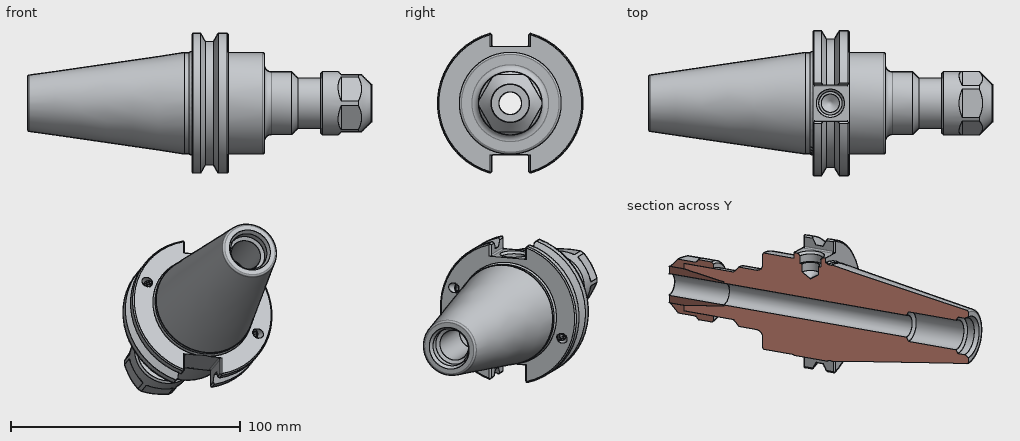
import cadquery as cq
import math

LENGTH = 150.0

HEX_SIDES = 6

TAPER_LENGTH = 68.4
TAPER_MAJOR_DIAMETER = 44.4
TAPER_RATIO = 7 / 24
TAPER_MINOR_DIAMETER = TAPER_MAJOR_DIAMETER - TAPER_RATIO * TAPER_LENGTH
TAPER_END_FILLET = 0.9

NECK_DIAMETER = 44.1

FLANGE_DIAMETER = 63.5
FLANGE_FRONT = 71.5
FLANGE_REAR = 87.5
FLANGE_CHAMFER = 0.6
FLANGE_ROOT_RADIUS = 1.5
FLANGE_ROOT_LENGTH = 1.2
GROOVE_CENTER = 79.2
GROOVE_FLOOR_WIDTH = 3.6
GROOVE_DEPTH = 3.6
GROOVE_FLANK_ANGLE = 30.0

BODY_DIAMETER = TAPER_MAJOR_DIAMETER
BODY_END = 103.2
BODY_FILLET = 0.9
COLLAR_DIAMETER = 27.5
COLLAR_FILLET = 3.0
COLLAR_END = 115.1
NOSE_DIAMETER = 22.0
NOSE_END = 142.5

MOUTH_DIAMETER = 18.6
PILOT_DIAMETER = 16.5
PILOT_DEPTH = 5.3
THREAD_BORE_DIAMETER = 13.4
THREAD_BORE_END = 30.0
THROUGH_DIAMETER = 9.8
MOUTH_ANGLE = 30.0
STEP_ANGLE = 60.0

SLOT_WIDTH = 16.0
SLOT_CHAMFER = 0.8
SLOT_FLOOR_FILLET = 0.6
UPPER_SLOT_FLOOR = 24.8
LOWER_SLOT_FLOOR = 22.5

POCKET_MOUTH_DIAMETER = 12.3
POCKET_DIAMETER = 10.2
POCKET_DEPTH = 4.5
PILOT_HOLE_DIAMETER = 8.0
PILOT_HOLE_DEPTH = 8.3
DRILL_POINT_ANGLE = 118.0

COOLANT_PITCH_RADIUS = 26.9
COOLANT_ANGLES = (20.0, 200.0)
COOLANT_TILT = 30.0
SCREW_DIAMETER = 4.2
SCREW_RECESS = 2.0
SCREW_LENGTH = 4.5
SCREW_CHAMFER = 0.5
SOCKET_ACROSS_FLATS = 2.0
SOCKET_DEPTH = 1.8

NUT_DIAMETER = 27.8
NUT_START = 127.7
NUT_END = 149.6
NUT_CHAMFER = 0.9
NUT_FACE_DIAMETER = 16.8
HEX_ACROSS_FLATS = 24.9
HEX_START = 136.7

COLLET_HEAD_DIAMETER = 16.5
COLLET_START = 122.6
COLLET_HALF_ANGLE = 8.0


def slope_run(rise, angle):
    """Axial length of a cone that changes its radius by `rise` at `angle` from the axis."""
    return rise / math.tan(math.radians(angle))


def revolve_about_x(profile):
    """Turn a closed (X, radius) profile about the X axis."""
    return profile.close().revolve(360, (0, 0, 0), (1, 0, 0))


def holder_blank():
    """Outside of the holder as one turned shape."""
    taper_r = TAPER_MAJOR_DIAMETER / 2
    neck_r = NECK_DIAMETER / 2
    root_rise = FLANGE_ROOT_RADIUS - math.sqrt(FLANGE_ROOT_RADIUS**2 - FLANGE_ROOT_LENGTH**2)
    flange_r = FLANGE_DIAMETER / 2
    body_r = BODY_DIAMETER / 2
    collar_r = COLLAR_DIAMETER / 2
    nose_r = NOSE_DIAMETER / 2
    groove_r = flange_r - GROOVE_DEPTH
    floor_half = GROOVE_FLOOR_WIDTH / 2
    rim_half = floor_half + GROOVE_DEPTH * math.tan(math.radians(GROOVE_FLANK_ANGLE))
    nose_start = COLLAR_END + collar_r - nose_r
    blank = revolve_about_x(
        cq.Workplane("XY")
        .moveTo(0, 0)
        .lineTo(0, TAPER_MINOR_DIAMETER / 2)
        .lineTo(TAPER_LENGTH, taper_r)
        .lineTo(TAPER_LENGTH, neck_r)
        .lineTo(FLANGE_FRONT - FLANGE_ROOT_LENGTH, neck_r)
        .radiusArc((FLANGE_FRONT, neck_r + root_rise), FLANGE_ROOT_RADIUS)
        .lineTo(FLANGE_FRONT, flange_r - FLANGE_CHAMFER)
        .lineTo(FLANGE_FRONT + FLANGE_CHAMFER, flange_r)
        .lineTo(GROOVE_CENTER - rim_half, flange_r)
        .lineTo(GROOVE_CENTER - floor_half, groove_r)
        .lineTo(GROOVE_CENTER + floor_half, groove_r)
        .lineTo(GROOVE_CENTER + rim_half, flange_r)
        .lineTo(FLANGE_REAR - FLANGE_CHAMFER, flange_r)
        .lineTo(FLANGE_REAR, flange_r - FLANGE_CHAMFER)
        .lineTo(FLANGE_REAR, body_r)
        .lineTo(BODY_END - BODY_FILLET, body_r)
        .radiusArc((BODY_END, body_r - BODY_FILLET), BODY_FILLET)
        .lineTo(BODY_END, collar_r + COLLAR_FILLET)
        .radiusArc((BODY_END + COLLAR_FILLET, collar_r), -COLLAR_FILLET)
        .lineTo(COLLAR_END, collar_r)
        .lineTo(nose_start, nose_r)
        .lineTo(NOSE_END, nose_r)
        .lineTo(NOSE_END, 0)
    )
    return blank.faces("<X").edges().fillet(TAPER_END_FILLET)


def holder_bore():
    """Stepped bore from the taper end, running through the nose."""
    mouth_r = MOUTH_DIAMETER / 2
    pilot_r = PILOT_DIAMETER / 2
    thread_r = THREAD_BORE_DIAMETER / 2
    through_r = THROUGH_DIAMETER / 2
    return revolve_about_x(
        cq.Workplane("XY")
        .moveTo(0, 0)
        .lineTo(0, mouth_r)
        .lineTo(slope_run(mouth_r - pilot_r, MOUTH_ANGLE), pilot_r)
        .lineTo(PILOT_DEPTH, pilot_r)
        .lineTo(PILOT_DEPTH + slope_run(pilot_r - thread_r, STEP_ANGLE), thread_r)
        .lineTo(THREAD_BORE_END, thread_r)
        .lineTo(THREAD_BORE_END + slope_run(thread_r - through_r, STEP_ANGLE), through_r)
        .lineTo(NOSE_END, through_r)
        .lineTo(NOSE_END, 0)
    )


def collet_blank():
    """Collet without its bore: a tapered shank that fills the nose, and a straight head."""
    head_r = COLLET_HEAD_DIAMETER / 2
    back_r = head_r - (NOSE_END - COLLET_START) * math.tan(math.radians(COLLET_HALF_ANGLE))
    return revolve_about_x(
        cq.Workplane("XY")
        .moveTo(COLLET_START, 0)
        .lineTo(COLLET_START, back_r)
        .lineTo(NOSE_END, head_r)
        .lineTo(LENGTH, head_r)
        .lineTo(LENGTH, 0)
    )


def drive_slot(floor_height):
    """Cutter for a slot on the +Z side, with its wall edges chamfered at both faces and at the rim."""
    half = SLOT_WIDTH / 2
    flared = half + SLOT_CHAMFER
    rim_r = FLANGE_DIAMETER / 2
    height = rim_r - floor_height
    slot_start = FLANGE_FRONT - FLANGE_ROOT_LENGTH
    slot_length = FLANGE_REAR - slot_start
    slot = (
        cq.Workplane("XY")
        .box(slot_length, SLOT_WIDTH, height, centered=(False, True, False))
        .translate((slot_start, 0, floor_height))
        .edges("|X and <Z")
        .fillet(SLOT_FLOOR_FILLET)
    )
    for face, inward in ((FLANGE_FRONT, 1), (FLANGE_REAR, -1)):
        face_flare = (
            cq.Workplane("XY", origin=(0, 0, floor_height))
            .moveTo(face, -flared)
            .lineTo(face, flared)
            .lineTo(face + inward * SLOT_CHAMFER, half)
            .lineTo(face + inward * SLOT_CHAMFER, -half)
            .close()
            .extrude(height)
        )
        slot = slot.union(face_flare)
    flare_top = math.sqrt(rim_r**2 - flared**2)
    rise = rim_r - flare_top
    rim_flare = (
        cq.Workplane("YZ", origin=(slot_start, 0, 0))
        .moveTo(-half, flare_top - SLOT_CHAMFER)
        .lineTo(half, flare_top - SLOT_CHAMFER)
        .lineTo(flared + rise, rim_r)
        .lineTo(-flared - rise, rim_r)
        .close()
        .extrude(slot_length)
    )
    return slot.union(rim_flare)


def slot_pocket():
    """Stepped round pocket with a drill point, sunk into the floor of the upper slot."""
    mouth_r = POCKET_MOUTH_DIAMETER / 2
    pocket_r = POCKET_DIAMETER / 2
    pilot_r = PILOT_HOLE_DIAMETER / 2
    point_depth = slope_run(pilot_r, DRILL_POINT_ANGLE / 2)
    return (
        cq.Workplane("XZ", origin=(GROOVE_CENTER, 0, UPPER_SLOT_FLOOR))
        .moveTo(0, 0)
        .lineTo(mouth_r, 0)
        .lineTo(pocket_r, pocket_r - mouth_r)
        .lineTo(pocket_r, -POCKET_DEPTH)
        .lineTo(pilot_r, -POCKET_DEPTH)
        .lineTo(pilot_r, -PILOT_HOLE_DEPTH)
        .lineTo(0, -PILOT_HOLE_DEPTH - point_depth)
        .close()
        .revolve(360, (0, 0, 0), (0, 1, 0))
    )


def coolant_frame(angle):
    """Plane at a coolant hole mouth, its normal running down the hole towards the tool axis."""
    across = math.radians(angle)
    tilt = math.radians(COOLANT_TILT)
    outward_y = math.cos(across)
    outward_z = math.sin(across)
    return cq.Plane(
        origin=(FLANGE_FRONT, COOLANT_PITCH_RADIUS * outward_y, COOLANT_PITCH_RADIUS * outward_z),
        xDir=(0, -outward_z, outward_y),
        normal=(math.cos(tilt), -outward_y * math.sin(tilt), -outward_z * math.sin(tilt)),
    )


def coolant_hole(angle):
    """Cutter for an inclined hole that ends at the bottom of its screw."""
    frame = coolant_frame(angle)
    lead_in = SCREW_DIAMETER
    return (
        cq.Workplane(frame)
        .workplane(offset=-lead_in)
        .circle(SCREW_DIAMETER / 2)
        .extrude(lead_in + SCREW_RECESS + SCREW_LENGTH)
    )


def make_set_screw(angle):
    """Set screw with a hexagon socket, recessed in its coolant hole."""
    head = cq.Workplane(coolant_frame(angle)).workplane(offset=SCREW_RECESS)
    socket_diameter = SOCKET_ACROSS_FLATS / math.cos(math.pi / HEX_SIDES)
    body = head.circle(SCREW_DIAMETER / 2).extrude(SCREW_LENGTH)
    body = body.faces("<X").chamfer(SCREW_CHAMFER)
    socket = head.polygon(HEX_SIDES, socket_diameter).extrude(SOCKET_DEPTH)
    return body.cut(socket)


def make_holder():
    """Taper shank, flange, body and nose in one piece."""
    holder = holder_blank().cut(holder_bore()).cut(collet_blank())
    holder = holder.cut(drive_slot(UPPER_SLOT_FLOOR))
    holder = holder.cut(drive_slot(LOWER_SLOT_FLOOR).rotate((0, 0, 0), (1, 0, 0), 180))
    holder = holder.cut(slot_pocket())
    for angle in COOLANT_ANGLES:
        holder = holder.cut(coolant_hole(angle))
    return holder


def make_collet():
    """Collet with a plain through bore."""
    bore = cq.Workplane("YZ").circle(THROUGH_DIAMETER / 2).extrude(LENGTH)
    return collet_blank().cut(bore)


def hex_flat_cutter():
    """Material above one hexagon flat, with a 45 degree run-out at its rear end."""
    flat = HEX_ACROSS_FLATS / 2
    height = NUT_DIAMETER / 2 - flat
    return (
        cq.Workplane("XZ")
        .moveTo(HEX_START, flat)
        .lineTo(NUT_END, flat)
        .lineTo(NUT_END, flat + height)
        .lineTo(HEX_START - height, flat + height)
        .close()
        .extrude(NUT_DIAMETER / 2, both=True)
    )


def make_nut():
    """Clamping nut: a turned ring with six wrench flats and a 45 degree front cone."""
    nut_r = NUT_DIAMETER / 2
    face_r = NUT_FACE_DIAMETER / 2
    thread_r = NOSE_DIAMETER / 2
    head_r = COLLET_HEAD_DIAMETER / 2
    nut = revolve_about_x(
        cq.Workplane("XY")
        .moveTo(NUT_START, thread_r)
        .lineTo(NUT_START, nut_r - NUT_CHAMFER)
        .lineTo(NUT_START + NUT_CHAMFER, nut_r)
        .lineTo(NUT_END - nut_r + face_r, nut_r)
        .lineTo(NUT_END, face_r)
        .lineTo(NUT_END, head_r)
        .lineTo(NOSE_END, head_r)
        .lineTo(NOSE_END, thread_r)
    )
    for side in range(HEX_SIDES):
        nut = nut.cut(hex_flat_cutter().rotate((0, 0, 0), (1, 0, 0), side * 360 / HEX_SIDES))
    return nut


holder = make_holder()
nut = make_nut()
collet = make_collet()
set_screws = [make_set_screw(angle) for angle in COOLANT_ANGLES]

result = cq.Compound.makeCompound(
    [holder.val(), nut.val(), collet.val(), *[screw.val() for screw in set_screws]]
)